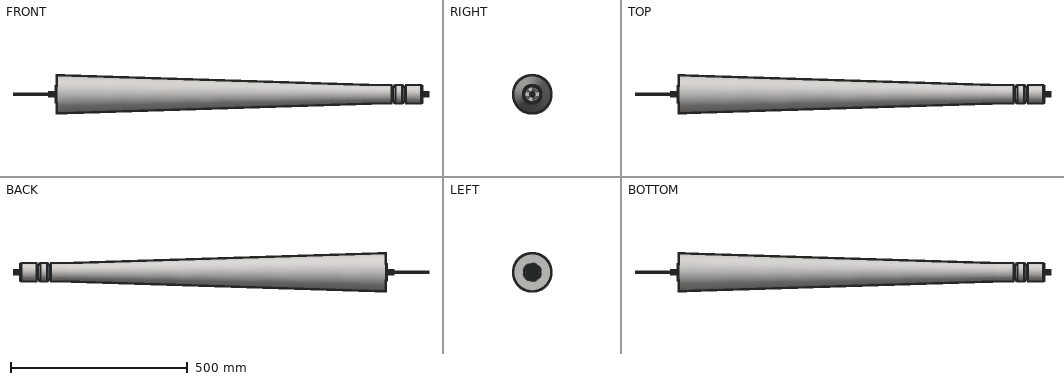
import cadquery as cq

overall_length = 1172.0
left_end = -overall_length / 2
right_end = overall_length / 2

tube_start = left_end + 121.0
tube_length = 900.0
tube_end = tube_start + tube_length
tube_large_diameter = 109.0
tube_small_diameter = 53.0

disc_diameter = 46.0
disc_thickness = 4.0
recess_diameters = (32.0, 26.0, 19.0)
recess_step = 0.6

cable_diameter = 5.0

connector_diameter = 12.0
connector_neck_diameter = 10.0
connector_length = 14.0
connector_neck_length = 4.0
ridge_count = 3
ridge_groove_width = 2.0
ridge_groove_diameter = 9.0

head_diameter = tube_small_diameter
head_end = right_end - connector_length - connector_neck_length
head_chamfer = 4.0
groove_diameter = 40.0
groove_floor_width = 4.0
groove_bevel_width = 7.0
ring_centre = tube_end + 67.0
ring_half_width = 9.0


def rod(start, end, diameter):
    """Solid cylinder along X between two stations."""
    return cq.Workplane("YZ", origin=(start, 0, 0)).circle(diameter / 2).extrude(end - start)


def turned(profile):
    """Revolve (station, radius) points about the X axis."""
    return cq.Workplane("XZ").polyline(profile).close().revolve(360, (0, 0, 0), (1, 0, 0))


def tapered_tube():
    return turned([
        (tube_start, 0),
        (tube_start, tube_large_diameter / 2),
        (tube_end, tube_small_diameter / 2),
        (tube_end, 0),
    ])


def head_groove(side):
    """Ring to cut beside the bevelled ring; side is -1 for the left groove and +1 for the right."""
    outer = head_diameter / 2
    floor = groove_diameter / 2
    bevel_top = ring_centre + side * ring_half_width
    bevel_foot = bevel_top + side * groove_bevel_width
    wall = bevel_foot + side * groove_floor_width
    return turned([(bevel_top, outer), (bevel_foot, floor), (wall, floor), (wall, outer)])


def head():
    body = rod(tube_end, head_end, head_diameter).faces(">X").chamfer(head_chamfer)
    for side in (-1, 1):
        body = body.cut(head_groove(side))
    return body


def entry_disc():
    face = tube_start - disc_thickness
    disc = rod(face, tube_start, disc_diameter)
    for level, diameter in enumerate(recess_diameters, start=1):
        disc = disc.cut(rod(face, face + level * recess_step, diameter))
    return disc


def connector(start):
    """Round connector with evenly spaced grooves between its ridges."""
    body = rod(start, start + connector_length, connector_diameter)
    groove_ring = (
        cq.Workplane("YZ")
        .circle(connector_diameter / 2)
        .circle(ridge_groove_diameter / 2)
        .extrude(ridge_groove_width)
    )
    ridge_width = (connector_length - (ridge_count - 1) * ridge_groove_width) / ridge_count
    for index in range(1, ridge_count):
        groove_start = start + index * ridge_width + (index - 1) * ridge_groove_width
        body = body.cut(groove_ring.translate((groove_start, 0, 0)))
    return body


def cable_entry():
    connector_end = tube_start - disc_thickness - connector_neck_length
    connector_start = connector_end - connector_length
    cable = rod(left_end, connector_start, cable_diameter)
    neck = rod(connector_end, tube_start, connector_neck_diameter)
    return entry_disc().union(neck).union(connector(connector_start)).union(cable)


def head_connector():
    connector_start = right_end - connector_length
    neck = rod(head_end, connector_start, connector_neck_diameter)
    return neck.union(connector(connector_start))


result = tapered_tube().union(head()).union(cable_entry()).union(head_connector())